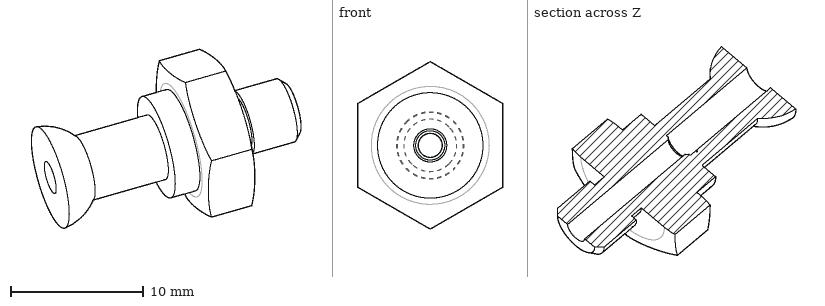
import cadquery as cq
import math

total_length = 19.6

dome_length = 2.67
stem_length = 5.94
collar_length = 2.0
nut_length = 4.0
neck_length = 1.0

dome_diameter = 8.0
stem_diameter = 5.1
collar_diameter = 8.0
nut_across_flats = 11.0
neck_diameter = 4.0
rear_diameter = 5.0
rear_chamfer = 0.5

nut_face_diameter = 8.94
nut_crown_radius = 5.0

front_bore_diameter = 2.5
through_bore_diameter = 1.8
bore_countersink_diameter = 2.21

front_y = -total_length / 2
stem_start = front_y + dome_length
collar_start = stem_start + stem_length
nut_start = collar_start + collar_length
nut_end = nut_start + nut_length
rear_start = nut_end + neck_length
rear_y = front_y + total_length

AXIS_START = (0, 0, 0)
AXIS_END = (0, 1, 0)


def cylinder(diameter, start, end):
    """Round bar on the Y axis between two stations."""
    plane = cq.Plane(origin=(0, start, 0), xDir=(1, 0, 0), normal=(0, 1, 0))
    return cq.Workplane(plane).circle(diameter / 2).extrude(end - start)


def make_dome():
    """Spherical zone, centred on the axis, that passes through its two end circles."""
    front_radius = dome_diameter / 2
    back_radius = stem_diameter / 2
    centre_offset = (dome_length**2 + back_radius**2 - front_radius**2) / (2 * dome_length)
    sphere_radius = math.hypot(front_radius, centre_offset)
    middle = dome_length / 2
    middle_radius = math.sqrt(sphere_radius**2 - (middle - centre_offset) ** 2)
    profile = (
        cq.Workplane("XY")
        .moveTo(0, front_y)
        .lineTo(front_radius, front_y)
        .threePointArc((middle_radius, front_y + middle), (back_radius, stem_start))
        .lineTo(0, stem_start)
        .close()
    )
    return profile.revolve(360, AXIS_START, AXIS_END)


def make_nut():
    """Hexagon with corners on the Z axis, trimmed by the crowned end faces."""
    corner_diameter = nut_across_flats / math.cos(math.pi / 6)
    plane = cq.Plane(origin=(0, nut_start, 0), xDir=(0, 0, 1), normal=(0, 1, 0))
    hexagon = cq.Workplane(plane).polygon(6, corner_diameter).extrude(nut_length)

    face_radius = nut_face_diameter / 2
    rim_radius = corner_diameter / 2 + 0.2

    def crown_drop(radius):
        return nut_crown_radius - math.sqrt(nut_crown_radius**2 - (radius - face_radius) ** 2)

    middle_radius = (face_radius + rim_radius) / 2
    middle_drop = crown_drop(middle_radius)
    rim_drop = crown_drop(rim_radius)
    envelope = (
        cq.Workplane("XY")
        .moveTo(0, nut_start)
        .lineTo(face_radius, nut_start)
        .threePointArc((middle_radius, nut_start + middle_drop), (rim_radius, nut_start + rim_drop))
        .lineTo(rim_radius, nut_end - rim_drop)
        .threePointArc((middle_radius, nut_end - middle_drop), (face_radius, nut_end))
        .lineTo(0, nut_end)
        .close()
        .revolve(360, AXIS_START, AXIS_END)
    )
    return hexagon.intersect(envelope)


def make_bore():
    """Wide bore through dome and stem, then a countersunk narrower bore to the rear end."""
    wide_radius = front_bore_diameter / 2
    countersink_radius = bore_countersink_diameter / 2
    narrow_radius = through_bore_diameter / 2
    countersink_depth = countersink_radius - narrow_radius
    profile = (
        cq.Workplane("XY")
        .moveTo(0, front_y)
        .lineTo(wide_radius, front_y)
        .lineTo(wide_radius, collar_start)
        .lineTo(countersink_radius, collar_start)
        .lineTo(narrow_radius, collar_start + countersink_depth)
        .lineTo(narrow_radius, rear_y)
        .lineTo(0, rear_y)
        .close()
    )
    return profile.revolve(360, AXIS_START, AXIS_END)


rear_end = cylinder(rear_diameter, rear_start, rear_y).faces(">Y").chamfer(rear_chamfer)

result = (
    make_dome()
    .union(cylinder(stem_diameter, stem_start, collar_start))
    .union(cylinder(collar_diameter, collar_start, nut_start))
    .union(make_nut())
    .union(cylinder(neck_diameter, nut_end, rear_start))
    .union(rear_end)
    .cut(make_bore())
)